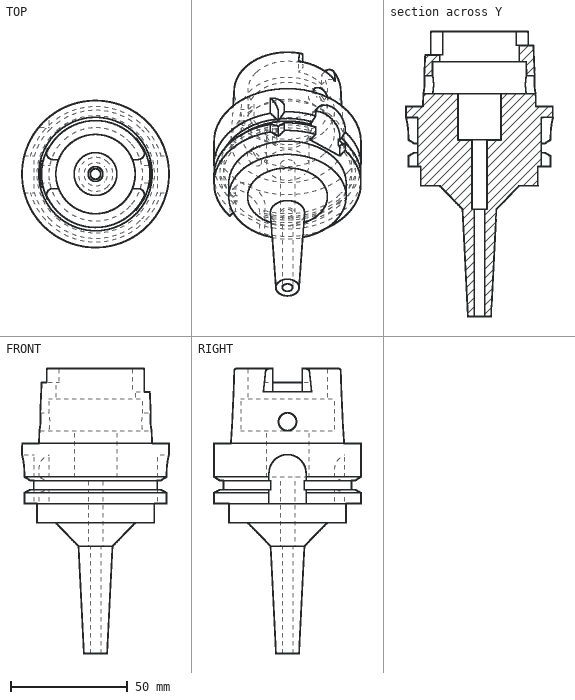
import cadquery as cq
import math

nose_top = 46.0
collar_bottom = 56.0
flange_bottom = 64.2
lower_lip_edge = 68.8
groove_bottom = 70.2
groove_top = 74.0
upper_lip_edge = 75.6
flange_top = 89.9
shank_top = 122.0

nose_tip_radius = 5.0
nose_top_radius = 7.3
cone_top_radius = 17.1
collar_radius = 25.1
flange_radius = 31.5
groove_lip_radius = 29.0
groove_radius = 27.5
shank_base_radius = 24.3
shank_top_radius = 22.8
rim_round = 1.2

cross_hole_radius = 3.8
cross_hole_height = 99.2

mouth_radius = 17.0
mouth_bottom = 109.0
cavity_radius = 20.0
cavity_floor = cross_hole_height - cross_hole_radius
pocket_radius = 9.2
pocket_floor = 75.6
passage_radius = 3.2
passage_floor = nose_top
tip_hole_radius = 2.2

drive_slot_width = 12.5
drive_slot_round = 2.6
lug_face_distance = 20.9
left_slot_floor = 116.0
right_slot_floor = 112.0

keyway_radius = 7.9
keyway_arch_height = 77.2
keyway_floor = 26.5
notch_radius = 6.6
notch_arch_height = 78.8
notch_floor = 20.0
notch_side = 20.0


def revolve_profile(points):
    """Revolve a closed outline of (radius, height) points about Z."""
    return cq.Workplane("XZ").polyline(points).close().revolve(360, (0, 0), (0, 1))


def outer_body():
    return revolve_profile([
        (0, 0),
        (nose_tip_radius, 0),
        (nose_top_radius, nose_top),
        (cone_top_radius, collar_bottom),
        (collar_radius, collar_bottom),
        (collar_radius, flange_bottom),
        (flange_radius, flange_bottom),
        (flange_radius, lower_lip_edge),
        (groove_lip_radius, groove_bottom),
        (groove_radius, groove_bottom),
        (groove_radius, groove_top),
        (groove_lip_radius, groove_top),
        (flange_radius, upper_lip_edge),
        (flange_radius, flange_top),
        (shank_base_radius, flange_top),
        (shank_top_radius, shank_top),
        (0, shank_top),
    ])


def stepped_bore():
    return revolve_profile([
        (0, 0),
        (tip_hole_radius, 0),
        (tip_hole_radius, passage_floor),
        (passage_radius, passage_floor),
        (passage_radius, pocket_floor),
        (pocket_radius, pocket_floor),
        (pocket_radius, cavity_floor),
        (cavity_radius, cavity_floor),
        (cavity_radius, mouth_bottom),
        (mouth_radius, mouth_bottom),
        (mouth_radius, shank_top),
        (0, shank_top),
    ])


def drive_slot(side, floor):
    """Slot through the shank wall on one side of X, flaring around the rounded lug corners."""
    half_width = drive_slot_width / 2
    arc_middle = drive_slot_round * math.sin(math.radians(45))
    round_start = lug_face_distance - drive_slot_round
    round_end = half_width + drive_slot_round
    half_slot = (
        cq.Workplane("XY", origin=(0, 0, floor))
        .moveTo(0, half_width)
        .lineTo(side * round_start, half_width)
        .threePointArc(
            (side * (round_start + arc_middle), round_end - arc_middle),
            (side * lug_face_distance, round_end),
        )
        .lineTo(side * lug_face_distance, flange_radius)
        .lineTo(side * flange_radius, flange_radius)
        .lineTo(side * flange_radius, 0)
        .lineTo(0, 0)
        .close()
        .extrude(shank_top - floor)
    )
    return half_slot.union(half_slot.mirror("XZ"))


def arched_cut(side, floor, center_y, radius, arch_height):
    """Round-topped cut from the flange underside, leaving a flat floor at X = side * floor."""
    return (
        cq.Workplane("YZ", origin=(side * floor, 0, 0))
        .moveTo(center_y - radius, flange_bottom)
        .lineTo(center_y - radius, arch_height)
        .threePointArc((center_y, arch_height + radius), (center_y + radius, arch_height))
        .lineTo(center_y + radius, flange_bottom)
        .close()
        .extrude(side * flange_radius)
    )


result = outer_body().faces(">Z").edges().fillet(rim_round).cut(stepped_bore())

for side, floor in ((-1, left_slot_floor), (1, right_slot_floor)):
    result = result.cut(drive_slot(side, floor))

cross_hole = (
    cq.Workplane("YZ")
    .center(0, cross_hole_height)
    .circle(cross_hole_radius)
    .extrude(flange_radius, both=True)
)
result = result.cut(cross_hole)

for side in (-1, 1):
    result = result.cut(arched_cut(side, keyway_floor, 0, keyway_radius, keyway_arch_height))
notch_center = notch_side + notch_radius
result = result.cut(arched_cut(-1, notch_floor, notch_center, notch_radius, notch_arch_height))